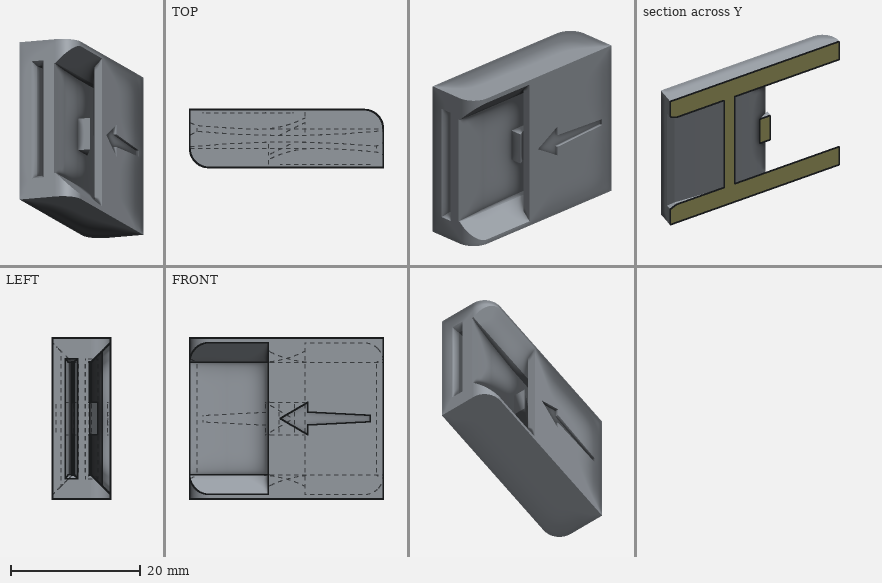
import cadquery as cq
import math


length = 30.0
thickness = 9.0
height = 25.0
corner_radius = 3.0

strap_width = 17.5
channel_end_y = 3.25
channel_rise = 0.75
channel_gap = 0.9

flare_length = 1.1
mouth_y_min = 2.0
mouth_y_max = 3.95
mouth_width = 18.6

pocket_length = 12.2
pocket_margin = 0.75
flank_depth = 3.0
plate_thickness = 1.3
plate_bend_radius = 16.0

tooth_height = 5.0
tooth_tip_y = 2.0
tooth_length = 4.0

arrow_tip_x = 14.0
arrow_head_end_x = 18.3
arrow_tail_x = 28.0
arrow_head_half = 2.5
arrow_shaft_half = 1.0
arrow_tail_half = 0.5
arrow_depth = 0.5

middle_x = length / 2
channel_top_y = channel_end_y + channel_rise
arch_radius = (middle_x**2 + channel_rise**2) / (2 * channel_rise)
arch_center_y = channel_top_y - arch_radius
outer_radius = arch_radius - channel_gap


def arch_y(radius, x):
    """Y of a channel wall of the given radius at position x."""
    return arch_center_y + math.sqrt(radius**2 - (x - middle_x) ** 2)


def extrude_across(profile, width):
    """Extrude an XY profile along Z, symmetric about the mid plane."""
    return profile.extrude(width / 2, both=True)


def make_body():
    body = cq.Workplane("XY").box(length, thickness, height, centered=(False, False, True))
    return body.edges("|Z and ((<X and <Y) or (>X and >Y))").fillet(corner_radius)


def make_channel():
    profile = (
        cq.Workplane("XY")
        .moveTo(0, channel_end_y)
        .threePointArc((middle_x, channel_top_y), (length, channel_end_y))
        .lineTo(length, arch_y(outer_radius, length))
        .threePointArc((middle_x, channel_top_y - channel_gap), (0, arch_y(outer_radius, 0)))
        .close()
    )
    return extrude_across(profile, strap_width)


def make_flare():
    throat_x = length - flare_length
    throat_y_min = arch_y(outer_radius, throat_x)
    throat_y_max = arch_y(arch_radius, throat_x)
    mouth_middle_y = (mouth_y_min + mouth_y_max) / 2
    throat_middle_y = (throat_y_min + throat_y_max) / 2
    return (
        cq.Workplane("YZ", origin=(length, 0, 0))
        .center(mouth_middle_y, 0)
        .rect(mouth_y_max - mouth_y_min, mouth_width)
        .workplane(offset=-flare_length)
        .center(throat_middle_y - mouth_middle_y, 0)
        .rect(throat_y_max - throat_y_min, strap_width)
        .loft(ruled=True)
    )


def make_pocket():
    edge_distance = math.hypot(middle_x - pocket_length, plate_thickness - arch_center_y)
    center_distance = outer_radius - plate_bend_radius
    edge_direction = math.atan2(plate_thickness - arch_center_y, pocket_length - middle_x)
    cos_offset = (edge_distance**2 + center_distance**2 - plate_bend_radius**2) / (
        2 * edge_distance * center_distance
    )
    tangent_direction = edge_direction - math.acos(cos_offset)
    bend_center_x = middle_x + center_distance * math.cos(tangent_direction)
    bend_center_y = arch_center_y + center_distance * math.sin(tangent_direction)
    bend_start = math.atan2(plate_thickness - bend_center_y, pocket_length - bend_center_x)

    def bend_point(angle):
        return (
            bend_center_x + plate_bend_radius * math.cos(angle),
            bend_center_y + plate_bend_radius * math.sin(angle),
        )

    bend_end = bend_point(tangent_direction)
    bend_middle = bend_point((bend_start + tangent_direction) / 2)
    side_profile = (
        cq.Workplane("XY")
        .lineTo(pocket_length, 0)
        .lineTo(pocket_length, plate_thickness)
        .threePointArc(bend_middle, bend_end)
        .lineTo(bend_end[0], channel_end_y)
        .lineTo(0, channel_end_y)
        .close()
    )
    face_half = height / 2 - pocket_margin
    floor_half = strap_width / 2
    flanks = (
        cq.Workplane("YZ")
        .polyline(
            [
                (0, -face_half),
                (flank_depth, -floor_half),
                (channel_end_y, -floor_half),
                (channel_end_y, floor_half),
                (flank_depth, floor_half),
                (0, face_half),
            ]
        )
        .close()
        .extrude(length)
    )
    return extrude_across(side_profile, height).intersect(flanks)


def make_tooth():
    root_y = thickness / 2
    ramp_end_x = pocket_length + tooth_length
    profile = cq.Workplane("XY").polyline(
        [
            (pocket_length, tooth_tip_y),
            (ramp_end_x, arch_y(arch_radius, ramp_end_x)),
            (ramp_end_x, root_y),
            (pocket_length, root_y),
        ]
    )
    return extrude_across(profile.close(), tooth_height)


def make_arrow():
    upper = [
        (arrow_head_end_x, arrow_head_half),
        (arrow_head_end_x, arrow_shaft_half),
        (arrow_tail_x, arrow_tail_half),
    ]
    lower = [(x, -z) for x, z in reversed(upper)]
    outline = [(arrow_tip_x, 0)] + upper + lower
    return cq.Workplane("XZ").polyline(outline).close().extrude(-arrow_depth)


def half_turn(shape):
    """Turn a shape 180 degrees about the vertical centre axis of the body."""
    center = (middle_x, thickness / 2)
    return shape.rotate((*center, 0), (*center, 1), 180)


strap_path = make_channel().union(make_flare()).union(make_pocket()).cut(make_tooth())
hollow = strap_path.union(make_arrow())

result = make_body().cut(hollow).cut(half_turn(hollow))